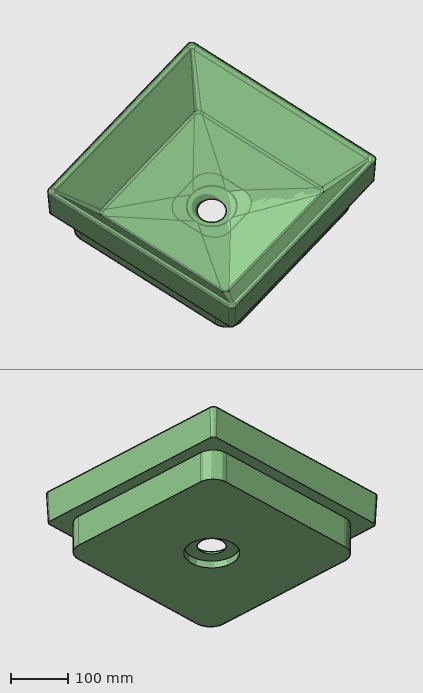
import cadquery as cq

total_height = 120.8
shelf_height = 60.0
floor_edge_height = 40.5
dish_edge_height = 31.0
funnel_mouth_height = 28.0
drain_height = 14.0

rim_width = 412.08
shelf_width = 406.4
body_corner_radius = 9.0
shelf_corner_radius = 7.0
base_width = 360.0
base_corner_radius = 32.0
rim_outer_fillet = 1.5
rim_inner_fillet = 9.0
body_flare = (rim_width - shelf_width) / (2 * (total_height - shelf_height))
sharp_rim_width = rim_width + 2 * rim_outer_fillet * body_flare

opening_width = 395.0
opening_corner_radius = 4.0
floor_width = 280.0
floor_corner_radius = 9.0
floor_fillet = 7.0
dish_width = 119.0
dish_corner_radius = 36.0
funnel_mouth_radius = 43.0
funnel_mouth_corner_radius = 40.0

drain_radius = 25.0
recess_clearance = 23.5
recess_radius = drain_radius + recess_clearance


def rounded_square(width, corner_radius, height):
    """Workplane with a centred square, rounded at the corners, at one height."""
    sketch = cq.Sketch().rect(width, width).vertices().fillet(corner_radius)
    return cq.Workplane("XY", origin=(0, 0, height)).placeSketch(sketch)


def square_loft(lower, upper):
    """Straight-sided solid between two (width, corner radius, height) sections."""
    wires = []
    for section in (lower, upper):
        face = rounded_square(*section).extrude(total_height).faces("<Z").val()
        wires.append(face.outerWire())
    return cq.Workplane(cq.Solid.makeLoft(wires, True))


def outer_body():
    upper = square_loft(
        (shelf_width, shelf_corner_radius, shelf_height),
        (sharp_rim_width, body_corner_radius, total_height),
    )
    base = rounded_square(base_width, base_corner_radius, 0).extrude(shelf_height)
    return upper.union(base)


def basin_cavity():
    """Space inside the basin: tapered walls over a floor falling to the drain."""
    floor_section = (floor_width, floor_corner_radius, floor_edge_height)
    dish_section = (dish_width, dish_corner_radius, dish_edge_height)
    mouth_section = (2 * funnel_mouth_radius, funnel_mouth_corner_radius, funnel_mouth_height)
    opening_section = (opening_width, opening_corner_radius, total_height)
    walls = square_loft(floor_section, opening_section)
    floor = square_loft(dish_section, floor_section)
    dish = square_loft(mouth_section, dish_section)
    return walls.union(floor).union(dish)


def drain_funnel():
    """Flared drain, leaving the dish at its slope and steepening to the hole."""
    return (
        cq.Workplane("XZ")
        .moveTo(0, dish_edge_height)
        .lineTo(dish_width / 2, dish_edge_height)
        .lineTo(funnel_mouth_radius, funnel_mouth_height)
        .tangentArcPoint((drain_radius, drain_height), relative=False)
        .lineTo(0, drain_height)
        .close()
        .revolve(360, (0, 0, 0), (0, 1, 0))
    )


def drain_recess():
    """Round recess in the underside that gives access to the drain hole."""
    return cq.Workplane("XY").circle(recess_radius).extrude(drain_height)


def edge_loop(part, width, height):
    """Workplane holding the square edge loop of the given width at one height."""
    half_width = width / 2
    margin = 1.0
    loop = []
    for edge in part.edges().vals():
        box = edge.BoundingBox()
        reach = max(abs(box.xmin), abs(box.xmax), abs(box.ymin), abs(box.ymax))
        level = abs(box.zmin - height) < margin and abs(box.zmax - height) < margin
        if level and abs(reach - half_width) < margin:
            loop.append(edge)
    return part.newObject(loop)


result = outer_body().cut(basin_cavity())
result = edge_loop(result, floor_width, floor_edge_height).fillet(floor_fillet)
result = edge_loop(result, opening_width, total_height).fillet(rim_inner_fillet)
result = edge_loop(result, sharp_rim_width, total_height).fillet(rim_outer_fillet)
result = result.cut(drain_funnel()).cut(drain_recess())